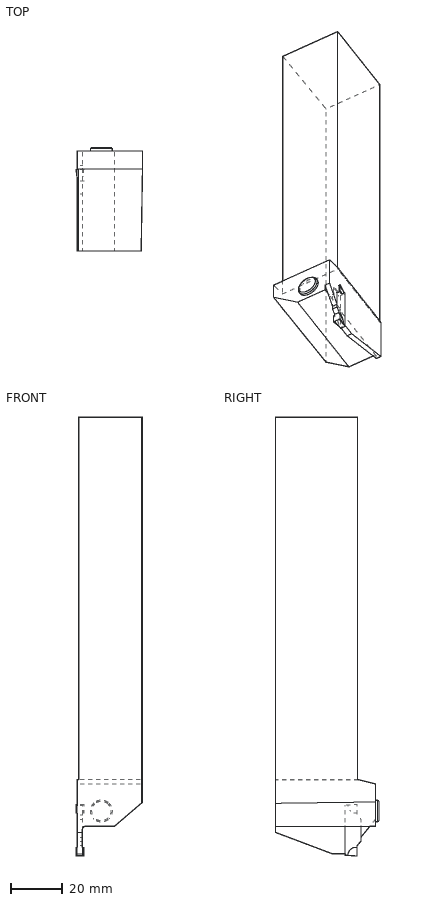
import cadquery as cq

TOTAL_HEIGHT = 171.4
SHANK_DEPTH = 32.0
SHANK_LEFT = 0.5
RIGHT_FACE = 25.5
RIGHT_DRAFT = 0.5
STEP_BOTTOM = 29.6
STEP_TOP = 30.0

HEAD_DEPTH = 39.0
HEAD_FRONT_TOP = 28.3
HEAD_BOTTOM = 11.7
HEAD_FLAT_END = 14.5
HEAD_SLOPE_TOP = 21.0

BLADE_THICKNESS = 2.0
BLADE_BOTTOM = 0.9
BLADE_HEEL_Z = 9.3
BLADE_HEEL_END = 22.3
BLADE_NOSE_TOP = 14.4
BLADE_NOSE_BOTTOM = 7.4
BLADE_ROOT_RADIUS = 1.4

SCREW_DIAMETER = 8.5
SCREW_HEIGHT = 1.4
SCREW_CHAMFER = 0.5
SCREW_X = 9.5
SCREW_Z = 17.6

INSERT_BACK = 27.2
INSERT_TIP = 31.9
INSERT_BELLY = 33.4
INSERT_TOP = 20.2
BELLY_HALF = 4.3
BELLY_SLOPE = 1.7
INSERT_EDGE_RELIEF = 0.3
EDGE_OVERHANG = 0.5
EDGE_LENGTH = 3.5
EDGE_BACK = 28.3
EDGE_ARC_MIDDLE = (29.0, 2.2)
EDGE_ARC_END = 30.7

INSERT_MIDDLE_Z = INSERT_TOP / 2


def plate(sketch, x_start, x_end):
    """Extrude a closed outline drawn in (Y, Z) from x_start to x_end."""
    return sketch.extrude(x_end - x_start).translate((x_start, 0, 0))


def make_shank():
    outline = [
        (SHANK_LEFT, 0),
        (RIGHT_FACE - RIGHT_DRAFT, 0),
        (RIGHT_FACE, SHANK_DEPTH),
        (SHANK_LEFT, SHANK_DEPTH),
    ]
    shank = cq.Workplane("XY").workplane(offset=STEP_BOTTOM).polyline(outline).close()
    return shank.extrude(TOTAL_HEIGHT - STEP_BOTTOM)


def make_head():
    side = cq.Workplane("YZ").polyline([
        (0, HEAD_BOTTOM),
        (HEAD_DEPTH, HEAD_BOTTOM),
        (HEAD_DEPTH, HEAD_FRONT_TOP),
        (SHANK_DEPTH, STEP_TOP),
        (0, STEP_TOP),
    ]).close()
    head = plate(side, 0, RIGHT_FACE)

    shoulder = (
        cq.Workplane("XZ")
        .polyline([(0, STEP_BOTTOM), (SHANK_LEFT, STEP_TOP), (0, STEP_TOP)])
        .close()
        .extrude(-SHANK_DEPTH)
    )
    underside = (
        cq.Workplane("XZ")
        .polyline([
            (HEAD_FLAT_END, HEAD_BOTTOM),
            (RIGHT_FACE, HEAD_BOTTOM),
            (RIGHT_FACE, HEAD_SLOPE_TOP),
        ])
        .close()
        .extrude(-HEAD_DEPTH)
    )
    draft = (
        cq.Workplane("XY")
        .polyline([(RIGHT_FACE - RIGHT_DRAFT, 0), (RIGHT_FACE, 0), (RIGHT_FACE, SHANK_DEPTH)])
        .close()
        .extrude(STEP_TOP)
    )
    nose_room = plate(
        cq.Workplane("YZ").polyline([
            (HEAD_DEPTH, BLADE_NOSE_TOP),
            (INSERT_BELLY, BLADE_NOSE_BOTTOM),
            (HEAD_DEPTH, BLADE_NOSE_BOTTOM),
        ]).close(),
        0, BLADE_THICKNESS,
    )
    return head.cut(shoulder).cut(underside).cut(draft).cut(nose_room)


def make_blade():
    outline = cq.Workplane("YZ").polyline([
        (0, BLADE_HEEL_Z),
        (BLADE_HEEL_END, BLADE_BOTTOM),
        (INSERT_BACK, BLADE_BOTTOM),
        (INSERT_BACK, BLADE_NOSE_BOTTOM),
        (INSERT_BELLY, BLADE_NOSE_BOTTOM),
        (HEAD_DEPTH, BLADE_NOSE_TOP),
        (0, BLADE_NOSE_TOP),
    ]).close()
    return plate(outline, 0, BLADE_THICKNESS)


def make_blade_root():
    """Concave fillet between the blade and the underside of the head."""
    fillet = (
        cq.Workplane("XZ")
        .moveTo(BLADE_THICKNESS, HEAD_BOTTOM)
        .lineTo(BLADE_THICKNESS + BLADE_ROOT_RADIUS, HEAD_BOTTOM)
        .radiusArc((BLADE_THICKNESS, HEAD_BOTTOM - BLADE_ROOT_RADIUS), -BLADE_ROOT_RADIUS)
        .close()
    )
    return fillet.extrude(-INSERT_BACK)


def make_screw_head():
    disc = (
        cq.Workplane("XZ", origin=(SCREW_X, HEAD_DEPTH, SCREW_Z))
        .circle(SCREW_DIAMETER / 2)
        .extrude(-SCREW_HEIGHT)
    )
    return disc.faces(">Y").chamfer(SCREW_CHAMFER)


def make_lower_edge():
    """Widened cutting edge at the lower end of the insert."""
    outline = (
        cq.Workplane("YZ")
        .moveTo(EDGE_BACK, INSERT_EDGE_RELIEF)
        .lineTo(INSERT_TIP, 0)
        .lineTo(INSERT_TIP, EDGE_LENGTH)
        .lineTo(EDGE_ARC_END, EDGE_LENGTH)
        .threePointArc(EDGE_ARC_MIDDLE, (EDGE_BACK, INSERT_EDGE_RELIEF))
        .close()
    )
    edge = plate(outline, -EDGE_OVERHANG, BLADE_THICKNESS + EDGE_OVERHANG)

    tapered_width = (
        cq.Workplane("XY")
        .polyline([
            (0, EDGE_BACK),
            (BLADE_THICKNESS, EDGE_BACK),
            (BLADE_THICKNESS + EDGE_OVERHANG, INSERT_TIP),
            (-EDGE_OVERHANG, INSERT_TIP),
        ])
        .close()
        .extrude(EDGE_LENGTH)
    )
    return edge.intersect(tapered_width)


def make_insert():
    body_outline = cq.Workplane("YZ").polyline([
        (INSERT_BACK, INSERT_EDGE_RELIEF),
        (INSERT_TIP, 0),
        (INSERT_TIP, INSERT_MIDDLE_Z - BELLY_HALF - BELLY_SLOPE),
        (INSERT_BELLY, INSERT_MIDDLE_Z - BELLY_HALF),
        (INSERT_BELLY, INSERT_MIDDLE_Z + BELLY_HALF),
        (INSERT_TIP, INSERT_MIDDLE_Z + BELLY_HALF + BELLY_SLOPE),
        (INSERT_TIP, INSERT_TOP),
        (INSERT_BACK, INSERT_TOP - INSERT_EDGE_RELIEF),
    ]).close()
    body = plate(body_outline, 0, BLADE_THICKNESS)
    lower_edge = make_lower_edge()
    upper_edge = lower_edge.mirror("XY", (0, 0, INSERT_MIDDLE_Z))
    return body.union(lower_edge).union(upper_edge)


def make_holder(insert):
    holder = make_shank().union(make_head()).union(make_blade())
    holder = holder.union(make_blade_root()).union(make_screw_head())
    return holder.cut(insert)


insert = make_insert()
holder = make_holder(insert)

result = cq.Compound.makeCompound([holder.val(), insert.val()])